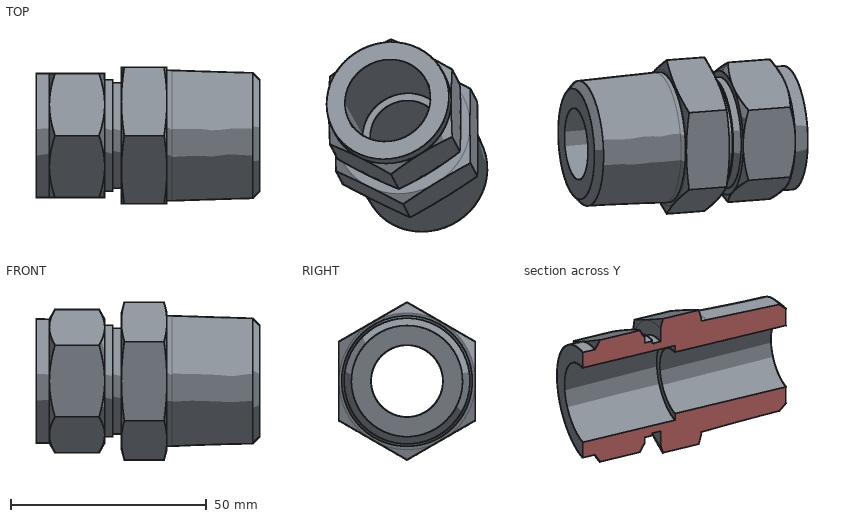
import cadquery as cq
import math

INCH = 25.4

total_length = 2.25 * INCH
nut_start = 3.4
nut_end = 17.5
ring_end = 19.6
body_hex_start = 21.8
body_hex_end = 33.4
taper_start = 34.65
pipe_chamfer = 1.85

hex_sides = 6
hex_half_side_angle = 180 / hex_sides
nut_across_flats = 1.25 * INCH
nut_chamfer_angle = 30
body_across_flats = 1.375 * INCH
body_chamfer_angle = 15

collar_diameter = nut_across_flats
ring_diameter = 28.55
neck_diameter = 27.05
pipe_diameter = 33.4
pipe_taper = 1 / 16

bore_diameter = 18.3
tube_diameter = 0.875 * INCH
tube_depth = 25.9


def cylinder(start, end, diameter):
    return cq.Workplane("YZ", origin=(start, 0, 0)).circle(diameter / 2).extrude(end - start)


def chamfered_hex(start, end, across_flats, chamfer_angle):
    """Hexagon with corners up and down, its corners turned off by a cone at both ends."""
    flat_radius = across_flats / 2
    corner_radius = flat_radius / math.cos(math.radians(hex_half_side_angle))
    chamfer_length = (corner_radius - flat_radius) * math.tan(math.radians(chamfer_angle))
    hexagon = (
        cq.Workplane("YZ", origin=(start, 0, 0))
        .polygon(hex_sides, 2 * corner_radius)
        .extrude(end - start)
        .rotate((0, 0, 0), (1, 0, 0), hex_half_side_angle)
    )
    envelope = (
        cq.Workplane("XZ")
        .moveTo(start, 0)
        .lineTo(start, flat_radius)
        .lineTo(start + chamfer_length, corner_radius)
        .lineTo(end - chamfer_length, corner_radius)
        .lineTo(end, flat_radius)
        .lineTo(end, 0)
        .close()
        .revolve(360, (0, 0, 0), (1, 0, 0))
    )
    return hexagon.intersect(envelope)


def pipe_end():
    """Short cylinder, tapered length and 45 degree end chamfer."""
    chamfer_start = total_length - pipe_chamfer
    pipe_radius = pipe_diameter / 2
    small_radius = pipe_radius - (chamfer_start - taper_start) * pipe_taper / 2
    return (
        cq.Workplane("XZ")
        .moveTo(body_hex_end, 0)
        .lineTo(body_hex_end, pipe_radius)
        .lineTo(taper_start, pipe_radius)
        .lineTo(chamfer_start, small_radius)
        .lineTo(total_length, small_radius - pipe_chamfer)
        .lineTo(total_length, 0)
        .close()
        .revolve(360, (0, 0, 0), (1, 0, 0))
    )


outside = (
    cylinder(0, nut_start, collar_diameter)
    .union(chamfered_hex(nut_start, nut_end, nut_across_flats, nut_chamfer_angle))
    .union(cylinder(nut_end, ring_end, ring_diameter))
    .union(cylinder(ring_end, body_hex_start, neck_diameter))
    .union(chamfered_hex(body_hex_start, body_hex_end, body_across_flats, body_chamfer_angle))
    .union(pipe_end())
)

socket = cylinder(0, tube_depth, tube_diameter)
bore = cylinder(0, total_length, bore_diameter)
result = outside.cut(socket).cut(bore)